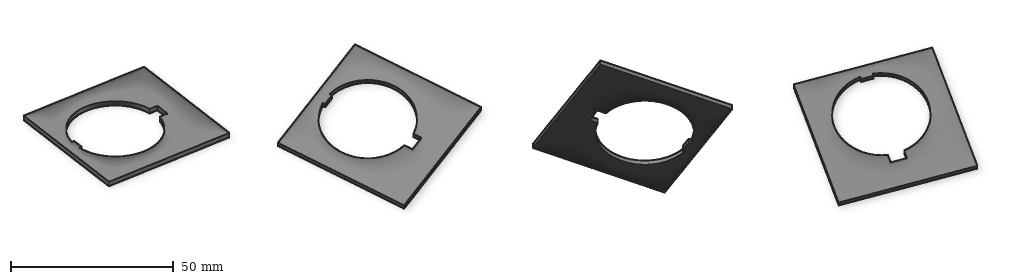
import cadquery as cq

plate_width = 44.8
plate_length = 45.75
plate_thickness = 1.7

hole_radius = 15.15
hole_center_y = -4.25

notch_width = 5.2
notch_reach = 17.85

tab_width = 4.05
tab_distance = 14.2


def block(width, y_start, y_end):
    """Full-thickness block centred on X, spanning y_start to y_end from the hole centre."""
    return (
        cq.Workplane("XY")
        .center(0, hole_center_y + (y_start + y_end) / 2)
        .rect(width, y_end - y_start)
        .extrude(plate_thickness)
    )


plate = cq.Workplane("XY").rect(plate_width, plate_length).extrude(plate_thickness)

round_opening = (
    cq.Workplane("XY")
    .center(0, hole_center_y)
    .circle(hole_radius)
    .extrude(plate_thickness)
)
notch = block(notch_width, 0, notch_reach)
tab = block(tab_width, -hole_radius, -tab_distance)

opening = round_opening.union(notch).cut(tab)
result = plate.cut(opening)